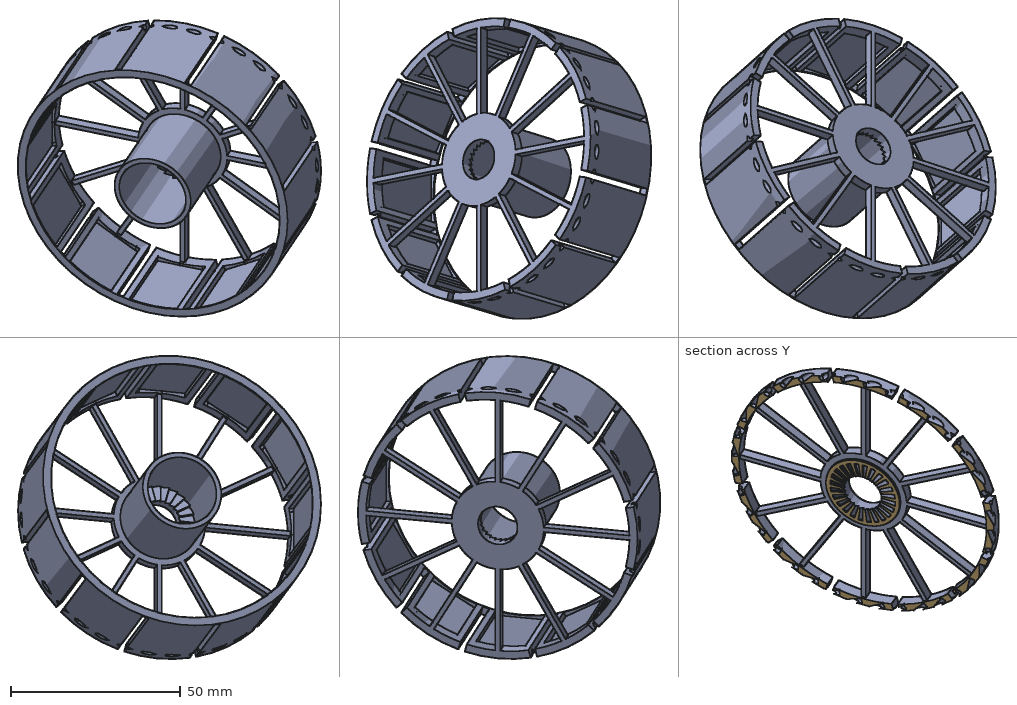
import cadquery as cq
import math

wheel_width = 28.5
rim_outer_diameter = 85.0
rim_inner_diameter = 80.0
segment_count = 12
segment_angle = 360.0 / segment_count

slot_width = 2.0
lip_width = 0.5

pocket_width = 15.0
pocket_back_border = 4.0
pocket_floor_radius = 40.7
pocket_inner_radius = 35.0

slant_hole_count = 36
slant_hole_diameter = 1.75
slant_hole_angle = 25.0
slant_hole_depth = 3.5
slant_hole_lead_in = 4.0
slant_hole_back_offset = 3.1

spoke_width = 1.5
spoke_depth = 3.0
spoke_overlap = 0.5

hub_diameter = 24.0
hub_bore_diameter = 21.0
shaft_hole_diameter = 12.0
flange_diameter = 28.0
flange_thickness = 3.0

tooth_count = 24
tooth_height = 1.25
tooth_root_depth = 0.5
tooth_inner_radius = shaft_hole_diameter / 2 - 1
tooth_outer_radius = (hub_bore_diameter + hub_diameter) / 4


def cylinder(diameter, y_start, y_end):
    """Solid cylinder around the wheel axis between two Y positions."""
    disc = cq.Workplane("XZ", origin=(0, y_start, 0)).circle(diameter / 2)
    return disc.extrude(y_start - y_end)


def radial_box(width, y_start, y_end, radius_start, radius_end):
    """Box reaching outward along +X, centred on the wheel axis in Z."""
    return cq.Workplane("XY").box(
        radius_end - radius_start, y_end - y_start, width, centered=(False, False, True)
    ).translate((radius_start, y_start, 0))


def around_axis(shape, index, offset_angle=0.0):
    """Copy of a shape turned about the wheel axis to the given segment."""
    return shape.rotate((0, 0, 0), (0, 1, 0), index * segment_angle + offset_angle)


def make_slant_hole():
    """Cutter that enters the rim surface at +X, dipping at a low angle to the tangent."""
    tilt = math.radians(slant_hole_angle)
    entry = cq.Vector(rim_outer_diameter / 2, wheel_width - slant_hole_back_offset, 0)
    direction = cq.Vector(-math.sin(tilt), 0, math.cos(tilt))
    start = entry - direction * slant_hole_lead_in
    return cq.Workplane("XY").add(
        cq.Solid.makeCylinder(
            slant_hole_diameter / 2, slant_hole_lead_in + slant_hole_depth, start, direction
        )
    )


def cut_slant_holes(rim):
    cutter = make_slant_hole()
    pitch = 360.0 / slant_hole_count
    for index in range(slant_hole_count):
        rim = rim.cut(cutter.rotate((0, 0, 0), (0, 1, 0), (index + 0.5) * pitch))
    return rim


def make_rim():
    rim = cylinder(rim_outer_diameter, 0, wheel_width)
    rim = rim.cut(cylinder(rim_inner_diameter, 0, wheel_width))
    slot = radial_box(slot_width, lip_width, wheel_width, pocket_inner_radius, rim_outer_diameter / 2 + 1)
    pocket = radial_box(
        pocket_width, lip_width, wheel_width - pocket_back_border, pocket_inner_radius, pocket_floor_radius
    )
    for index in range(segment_count):
        rim = rim.cut(around_axis(slot, index, segment_angle / 2))
        rim = rim.cut(around_axis(pocket, index))
    return cut_slant_holes(rim)


def make_hub():
    """Stepped hub tube, closed at the back by a floor with a shaft hole."""
    floor_front = wheel_width - flange_thickness
    hub = cylinder(hub_diameter, 0, wheel_width)
    hub = hub.union(cylinder(flange_diameter, floor_front, wheel_width))
    return hub.cut(cylinder(hub_bore_diameter, 0, floor_front))


def radial_section(angle, height):
    """Upright rectangle on a radial line, reaching forward from inside the hub floor."""
    floor_front = wheel_width - flange_thickness
    back = floor_front + tooth_root_depth
    front = floor_front - height
    direction = cq.Vector(math.cos(angle), 0, math.sin(angle))
    corners = [
        direction * tooth_inner_radius + cq.Vector(0, back, 0),
        direction * tooth_outer_radius + cq.Vector(0, back, 0),
        direction * tooth_outer_radius + cq.Vector(0, front, 0),
        direction * tooth_inner_radius + cq.Vector(0, front, 0),
    ]
    return cq.Wire.makePolygon(corners, close=True)


def make_ratchet():
    """Saw teeth that each rise sharply and ramp back down to the hub floor."""
    pitch = 2 * math.pi / tooth_count
    teeth = cq.Workplane("XY")
    for index in range(tooth_count):
        crest = radial_section(index * pitch, tooth_height)
        root = radial_section((index + 1) * pitch, 0)
        teeth = teeth.union(cq.Workplane("XY").add(cq.Solid.makeLoft([crest, root], True)))
    return teeth


def make_spokes():
    spoke = radial_box(
        spoke_width,
        wheel_width - spoke_depth,
        wheel_width,
        hub_diameter / 2 - spoke_overlap,
        rim_inner_diameter / 2 + spoke_overlap / 2,
    )
    spokes = spoke
    for index in range(1, segment_count):
        spokes = spokes.union(around_axis(spoke, index))
    return spokes


result = make_rim().union(make_spokes()).union(make_hub()).union(make_ratchet())
result = result.cut(cylinder(shaft_hole_diameter, 0, wheel_width))